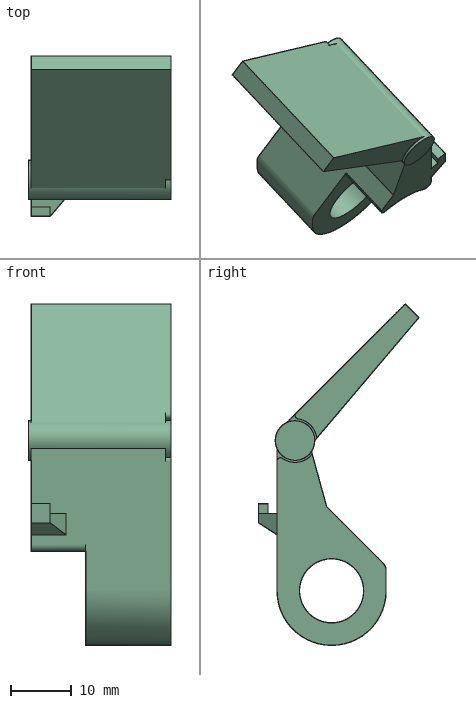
import cadquery as cq
import math

body_width = 23.05
front_y = -9.0

ring_radius = 9.0
bore_diameter = 10.5
ring_start_x = 9.0
shoulder_z = 4.05
shoulder_fillet = 1.7

pin_diameter = 6.5
pin_y = -6.0
pin_z = 24.75
pin_overhang = 0.45

groove_radius = 3.6
groove_width = 0.9
groove_edge_fillet = 0.55

neck_back_y = -0.8
neck_top_y = -3.25
neck_top_z = 22.8

relief_radius = 9.95
relief_back_y = 1.75
relief_fillet = 0.55
nose_radius = 1.0

flap_tip_y = 12.15
flap_tip_z = 47.2
flap_tip_drop = 2.25

foot_offset = ((flap_tip_z - pin_z) - (flap_tip_y - pin_y)) / 2

hook_tip_y = -12.05
lip_thickness = 1.6
lip_top_z = 14.35
hook_seat_z = 12.75
hook_tip_bottom_z = 11.2
hook_root_bottom_z = 9.2
hook_tip_width = 3.15
hook_root_width = 5.75


def side_plane(x):
    """Sketch plane at x whose axes are the part's Y and Z."""
    return cq.Workplane("YZ", origin=(x, 0, 0))


def pin_cylinder(radius, start_x, end_x):
    return side_plane(start_x).center(pin_y, pin_z).circle(radius).extrude(end_x - start_x)


def make_body():
    slope_sum = ring_radius + shoulder_z
    return (
        side_plane(0)
        .moveTo(front_y, 0)
        .threePointArc((0, -ring_radius), (ring_radius, 0))
        .lineTo(ring_radius, shoulder_z)
        .lineTo(neck_back_y, slope_sum - neck_back_y)
        .lineTo(neck_top_y, neck_top_z)
        .lineTo(pin_y, pin_z)
        .lineTo(front_y, pin_z)
        .close()
        .extrude(body_width)
        .edges(cq.selectors.NearestToPointSelector((body_width / 2, ring_radius, shoulder_z)))
        .fillet(shoulder_fillet)
    )


def make_relief():
    """Space beside the ring, below an arc concentric with the bore."""
    nose_y = front_y + nose_radius
    center_distance = relief_radius + nose_radius
    nose_z = math.sqrt(center_distance**2 - nose_y**2)
    touch_y = nose_y * relief_radius / center_distance
    touch_z = nose_z * relief_radius / center_distance
    arc_middle = math.atan2(touch_z, touch_y) / 2 + math.pi / 4
    nose_middle = (math.pi + math.atan2(-nose_z, -nose_y) + 2 * math.pi) / 2
    far = 2 * ring_radius
    return (
        side_plane(0)
        .moveTo(-far, nose_z)
        .lineTo(front_y, nose_z)
        .threePointArc(
            (nose_y + nose_radius * math.cos(nose_middle), nose_z + nose_radius * math.sin(nose_middle)),
            (touch_y, touch_z),
        )
        .threePointArc(
            (relief_radius * math.cos(arc_middle), relief_radius * math.sin(arc_middle)),
            (0, relief_radius),
        )
        .lineTo(relief_back_y - relief_fillet, relief_radius)
        .radiusArc((relief_back_y, relief_radius + relief_fillet), -relief_fillet)
        .lineTo(relief_back_y, far)
        .lineTo(far, far)
        .lineTo(far, -far)
        .lineTo(-far, -far)
        .close()
        .extrude(ring_start_x)
    )


def make_flap():
    return (
        side_plane(0)
        .moveTo(flap_tip_y, flap_tip_z)
        .lineTo(flap_tip_y + flap_tip_drop, flap_tip_z - flap_tip_drop)
        .lineTo(pin_y + pin_diameter / 2, pin_z)
        .lineTo(pin_y, pin_z)
        .lineTo(pin_y - foot_offset, pin_z + foot_offset)
        .close()
        .extrude(body_width)
    )


def make_hook():
    """Arm tapering in width toward its tip, with a straight upright lip."""
    arm_side = (
        side_plane(0)
        .moveTo(front_y, hook_seat_z)
        .lineTo(hook_tip_y, hook_seat_z)
        .lineTo(hook_tip_y, hook_tip_bottom_z)
        .lineTo(front_y, hook_root_bottom_z)
        .close()
        .extrude(hook_root_width)
    )
    arm_taper = (
        cq.Workplane("XY")
        .moveTo(0, front_y)
        .lineTo(hook_root_width, front_y)
        .lineTo(hook_tip_width, hook_tip_y)
        .lineTo(0, hook_tip_y)
        .close()
        .extrude(lip_top_z)
    )
    lip = cq.Workplane("XY", origin=(0, hook_tip_y, hook_tip_bottom_z)).box(
        hook_tip_width, lip_thickness, lip_top_z - hook_tip_bottom_z, centered=False
    )
    return arm_side.intersect(arm_taper).union(lip)


def cut_pin_groove(solid):
    """Cut the groove and round its edges on the front faces of body and flap."""
    groove_start_x = body_width - groove_width
    edge_x = body_width - groove_width / 2
    body_edge_z = pin_z - math.sqrt(groove_radius**2 - (front_y - pin_y) ** 2)
    flap_edge_step = math.sqrt(groove_radius**2 / 2 - foot_offset**2)
    flap_edge_y = pin_y - foot_offset + flap_edge_step
    flap_edge_z = pin_z + foot_offset + flap_edge_step
    grooved = solid.cut(pin_cylinder(groove_radius, groove_start_x, body_width))
    for edge_y, edge_z in ((front_y, body_edge_z), (flap_edge_y, flap_edge_z)):
        edge_selector = cq.selectors.NearestToPointSelector((edge_x, edge_y, edge_z))
        grooved = grooved.edges(edge_selector).fillet(groove_edge_fillet)
    return grooved


bore = side_plane(0).circle(bore_diameter / 2).extrude(body_width)
pin = pin_cylinder(pin_diameter / 2, -pin_overhang, body_width)

body = make_body().cut(make_relief()).cut(bore)
result = cut_pin_groove(body.union(make_flap())).union(pin).union(make_hook())